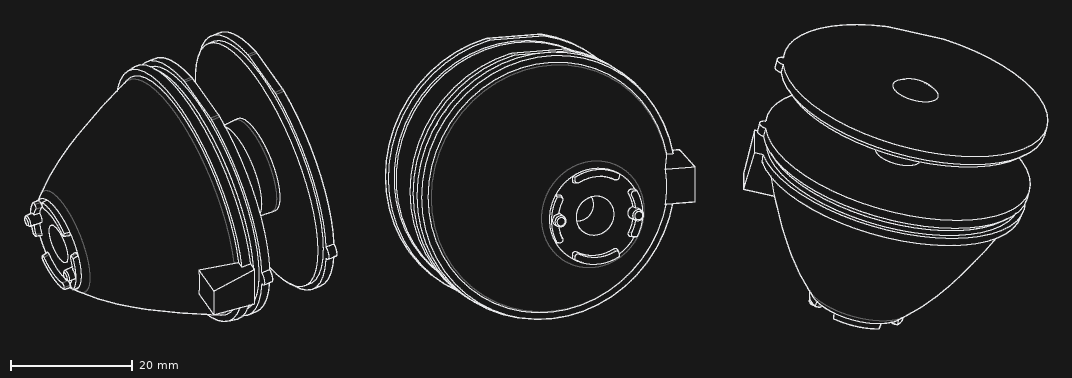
import cadquery as cq
import math


rim_radius = 22.5
plate_thickness = 1.5
step_radius = 21.5
step_thickness = 1.0
lens_thickness = plate_thickness + step_thickness
boss_radius = 8.2
boss_end_radius = 8.0
boss_straight_length = 0.6
boss_length = 3.3
dome_sphere_radius = 6.0
dome_height = 1.4
dome_base_radius = math.sqrt(dome_sphere_radius**2 - (dome_sphere_radius - dome_height) ** 2)
flat_height = 22.0
flat_blend_radius = 2.0
tab_radius = 1.5
tab_offset = 22.0
second_lens_offset = 12.0

draft_slope = math.tan(math.radians(10))

seat_radius = 43.02 / 2
flange_y = -3.4
flange_thickness = 1.5
flange_back_y = flange_y - flange_thickness
flange_back_radius = rim_radius - flange_thickness * draft_slope
neck_radius = 21.1
cone_start_y = -5.6
cone_start_radius = 20.8
cone_end_y = -26.4
cone_end_radius = 9.0
face_y = -27.5
face_radius = 8.0

bore_radius = 3.3
bore_bottom_radius = 2.6
bore_depth = 8.0
bore_dome_height = 1.5
bore_dome_radius = (bore_bottom_radius**2 + bore_dome_height**2) / (2 * bore_dome_height)

ridge_height = 1.0
ridge_inner_radius = 6.7
ridge_width = 8.0
ridge_corner_radius = 0.5
ridge_draft = 7.0
pin_offset = 6.8
pin_length = 2.36
pin_base_radius = 1.05
pin_top_radius = 0.95
pin_tip_radius = 0.7
pin_tip_length = 0.3

key_reach = tab_offset + tab_radius
key_end_y = -11.0
key_base_half_height = 4.3
key_end_half_height = key_base_half_height - (flange_y - key_end_y) * draft_slope


def plane_at(y):
    """XZ workplane at the given y; extrusions from it run towards -Y."""
    return cq.Workplane("XZ", origin=(0, y, 0))


def revolved(profile):
    """Turn a closed (radius, y) profile around the Y axis."""
    return profile.close().revolve(360, (0, 0, 0), (0, 1, 0))


def make_boss():
    straight_end_y = -lens_thickness - boss_straight_length
    return revolved(
        cq.Workplane("XY")
        .moveTo(0, -lens_thickness)
        .lineTo(boss_radius, -lens_thickness)
        .lineTo(boss_radius, straight_end_y)
        .lineTo(boss_end_radius, -lens_thickness - boss_length)
        .lineTo(0, -lens_thickness - boss_length)
    )


def make_lens():
    disc = plane_at(0).circle(rim_radius).extrude(plate_thickness)
    above_flat = (
        plane_at(0)
        .center(0, flat_height + rim_radius)
        .rect(2 * rim_radius, 2 * rim_radius)
        .extrude(plate_thickness)
    )
    plate = disc.cut(above_flat).edges("|Y and >Z").fillet(flat_blend_radius)
    tab = plane_at(0).center(tab_offset, 0).circle(tab_radius).extrude(plate_thickness)
    step = plane_at(-plate_thickness).circle(step_radius).extrude(step_thickness)
    dome = revolved(
        cq.Workplane("XY")
        .moveTo(0, 0)
        .lineTo(dome_base_radius, 0)
        .radiusArc((0, dome_height), -dome_sphere_radius)
    )
    return plate.union(tab).union(step).union(dome).union(make_boss())


def cone_radius(y):
    """Parabolic flank: the squared radius falls linearly along the axis."""
    share = (y - cone_start_y) / (cone_end_y - cone_start_y)
    return math.sqrt(cone_start_radius**2 + share * (cone_end_radius**2 - cone_start_radius**2))


def make_collimator_body():
    flank_steps = 6
    flank = []
    for i in range(1, flank_steps + 1):
        y = cone_start_y + (cone_end_y - cone_start_y) * i / flank_steps
        flank.append((cone_radius(y), y))
    return revolved(
        cq.Workplane("XY")
        .moveTo(0, -lens_thickness)
        .lineTo(seat_radius, -lens_thickness)
        .lineTo(seat_radius, flange_y)
        .lineTo(rim_radius, flange_y)
        .lineTo(flange_back_radius, flange_back_y)
        .lineTo(neck_radius, flange_back_y)
        .lineTo(cone_start_radius, cone_start_y)
        .spline(flank, includeCurrent=True)
        .lineTo(face_radius, face_y)
        .lineTo(0, face_y)
    )


def make_bore():
    bottom_y = face_y + bore_depth
    return revolved(
        cq.Workplane("XY")
        .moveTo(0, face_y)
        .lineTo(bore_radius, face_y)
        .lineTo(bore_bottom_radius, bottom_y)
        .radiusArc((0, bottom_y - bore_dome_height), bore_dome_radius)
    )


def make_ridge(angle):
    """One arc-shaped ridge with drafted sides, flush with the rim of the end face."""
    blank_outer = 2 * face_radius
    half_width = ridge_width / 2
    corner_height = math.sqrt(ridge_inner_radius**2 - half_width**2)
    blank = (
        plane_at(face_y)
        .moveTo(-half_width, blank_outer)
        .lineTo(-half_width, corner_height)
        .threePointArc((0, ridge_inner_radius), (half_width, corner_height))
        .lineTo(half_width, blank_outer)
        .close()
        .extrude(ridge_height, taper=ridge_draft)
    )
    for side in (-1, 1):
        corner = (side * half_width, face_y - ridge_height / 2, corner_height)
        near_corner = cq.selectors.BoxSelector(
            tuple(c - ridge_corner_radius for c in corner),
            tuple(c + ridge_corner_radius for c in corner),
        )
        blank = blank.edges(near_corner).fillet(ridge_corner_radius)
    envelope = plane_at(face_y).circle(face_radius).extrude(ridge_height)
    return blank.intersect(envelope).rotate((0, 0, 0), (0, 1, 0), angle)


def make_pin(x):
    shank_length = pin_length - pin_tip_length
    shank = cq.Solid.makeCone(
        pin_base_radius, pin_top_radius, shank_length, cq.Vector(x, face_y, 0), cq.Vector(0, -1, 0)
    )
    tip = cq.Solid.makeCone(
        pin_top_radius,
        pin_tip_radius,
        pin_tip_length,
        cq.Vector(x, face_y - shank_length, 0),
        cq.Vector(0, -1, 0),
    )
    return cq.Workplane(shank).union(cq.Workplane(tip))


def make_key():
    """Block on the +X side whose upper and lower faces slope together towards -Y."""
    return (
        cq.Workplane("YZ")
        .moveTo(flange_y, -key_base_half_height)
        .lineTo(flange_y, key_base_half_height)
        .lineTo(key_end_y, key_end_half_height)
        .lineTo(key_end_y, -key_end_half_height)
        .close()
        .extrude(key_reach)
    )


def make_collimator():
    body = make_collimator_body().union(make_key())
    for angle in range(0, 360, 90):
        body = body.union(make_ridge(angle))
    for x in (-pin_offset, pin_offset):
        body = body.union(make_pin(x))
    return body.cut(make_bore()).cut(make_boss())


seated_lens = make_lens()
removed_lens = make_lens().translate((0, second_lens_offset, 0))
collimator = make_collimator()

result = cq.Compound.makeCompound([collimator.val(), seated_lens.val(), removed_lens.val()])